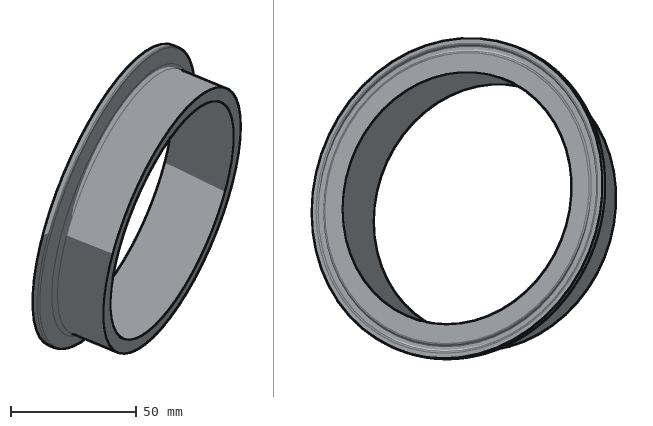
import cadquery as cq
import math


length = 28.0
flange_diameter = 130.0
pipe_diameter = 114.3
bore_diameter = 102.26

rim_thickness = 2.85
taper_angle = math.radians(20.0)
rim_round = 0.8
neck_round = 2.0

groove_diameter = 122.0
groove_bottom_radius = 1.4
groove_lip_radius = 0.85
groove_flank_angle = math.radians(60.0)

flange_radius = flange_diameter / 2
pipe_radius = pipe_diameter / 2
bore_radius = bore_diameter / 2
groove_radius = groove_diameter / 2
taper_end = rim_thickness + (flange_radius - pipe_radius) * math.tan(taper_angle)


def revolve_about_x(profile):
    """Turn a closed (X, radius) profile drawn in the XY plane about the X axis."""
    return profile.revolve(360, (0, 0, 0), (1, 0, 0))


def circle_at(x, radius):
    """Select the circular edges passing close to the given axial position and radius."""
    reach = 0.01
    return cq.selectors.BoxSelector(
        (x - reach, -radius - reach, -radius - reach),
        (x + reach, radius + reach, radius + reach),
        boundingbox=True,
    )


def make_body():
    """Flange, taper and bored pipe, with the taper blended at both ends."""
    profile = (
        cq.Workplane("XY")
        .moveTo(0, bore_radius)
        .lineTo(0, flange_radius)
        .lineTo(rim_thickness, flange_radius)
        .lineTo(taper_end, pipe_radius)
        .lineTo(length, pipe_radius)
        .lineTo(length, bore_radius)
        .close()
    )
    body = revolve_about_x(profile)
    body = body.edges(circle_at(rim_thickness, flange_radius)).fillet(rim_round)
    return body.edges(circle_at(taper_end, pipe_radius)).fillet(neck_round)


def make_groove():
    """Ring that cuts the round-bottomed gasket groove and its rounded lips."""
    sin_flank = math.sin(groove_flank_angle)
    cos_flank = math.cos(groove_flank_angle)
    sin_half = math.sin(groove_flank_angle / 2)
    cos_half = math.cos(groove_flank_angle / 2)

    lip_offset = (groove_bottom_radius + groove_lip_radius) * sin_flank
    flank_offset = groove_bottom_radius * sin_flank
    flank_depth = groove_lip_radius * (1 - cos_flank)
    groove_depth = flank_depth + groove_bottom_radius * (1 - cos_flank)
    lip_middle_offset = lip_offset - groove_lip_radius * sin_half
    lip_middle_depth = groove_lip_radius * (1 - cos_half)

    profile = (
        cq.Workplane("XY")
        .moveTo(0, groove_radius - lip_offset)
        .threePointArc(
            (lip_middle_depth, groove_radius - lip_middle_offset),
            (flank_depth, groove_radius - flank_offset),
        )
        .threePointArc(
            (groove_depth, groove_radius),
            (flank_depth, groove_radius + flank_offset),
        )
        .threePointArc(
            (lip_middle_depth, groove_radius + lip_middle_offset),
            (0, groove_radius + lip_offset),
        )
        .close()
    )
    return revolve_about_x(profile)


result = make_body().cut(make_groove())